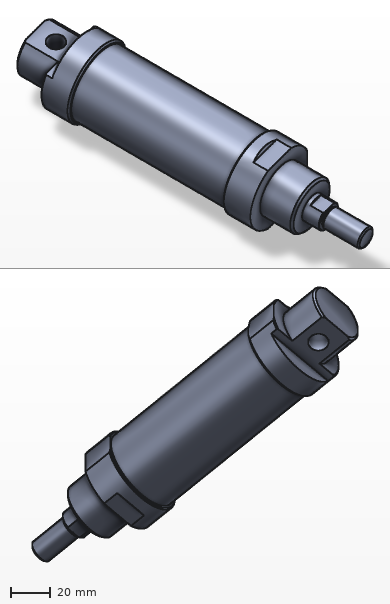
import cadquery as cq


TOTAL_LENGTH = 212.0
EYE_LENGTH = 22.0
REAR_HEAD_END = 40.3
FRONT_HEAD_START = 138.9
FRONT_HEAD_END = 156.5
NOSE_END = 177.0
ROD_SHOULDER = 188.0
THREAD_START = 189.0

HEAD_DIAMETER = 49.0
HEAD_WIDTH = 47.7
HEAD_RADIUS = HEAD_DIAMETER / 2
SIDE_FLAT_Y = HEAD_WIDTH - HEAD_RADIUS
HEAD_CHAMFER = 0.6
REAR_HEAD_TUBE_CHAMFER = 1.0

EYE_DIAMETER = 32.9
EYE_CHAMFER = 1.0
EYE_THICKNESS = 26.3
EYE_FLAT_LENGTH = 26.5
PIN_HOLE_DIAMETER = 10.4
PIN_HOLE_X = 13.1

TUBE_DIAMETER = 45.2

NOSE_DIAMETER = 32.9
NOSE_CHAMFER = 1.3
HEAD_ACROSS_FLATS = 45.0
HEAD_FLAT_START = 147.1
HEAD_FLAT_RUNOUT = 1.0

ROD_DIAMETER = 16.3
ROD_CHAMFER = 0.5
ROD_FLAT_START = 179.5
ROD_ACROSS_FLATS = 13.8
UNDERCUT_DIAMETER = 11.7
THREAD_DIAMETER = 12.7
THREAD_CHAMFER = 0.8

CUT_MARGIN = 2.1


def cylinder(start, end, diameter):
    """Solid cylinder about the X axis between two stations."""
    return cq.Workplane("YZ", origin=(start, 0, 0)).circle(diameter / 2).extrude(end - start)


def cut_flats(body, start, end, across_flats, runout=0.0):
    """Cut a flat on the +Z and -Z sides; runout is how far the step leans toward -X at the head radius."""
    flat_z = across_flats / 2
    top_z = HEAD_RADIUS
    cutter = (
        cq.Workplane("XZ")
        .moveTo(start, flat_z)
        .lineTo(end, flat_z)
        .lineTo(end, top_z + CUT_MARGIN)
        .lineTo(start - runout, top_z + CUT_MARGIN)
        .lineTo(start - runout, top_z)
        .close()
        .extrude(HEAD_RADIUS + CUT_MARGIN, both=True)
    )
    return body.cut(cutter).cut(cutter.mirror("XY"))


def cut_side_flat(head):
    """Cut the narrow flat along the +Y side of a head."""
    cutter = (
        cq.Workplane("XY", origin=(0, SIDE_FLAT_Y, 0))
        .box(TOTAL_LENGTH, HEAD_RADIUS, HEAD_DIAMETER, centered=(False, False, True))
    )
    return head.cut(cutter)


def make_rear_head():
    disc = cylinder(EYE_LENGTH, REAR_HEAD_END, HEAD_DIAMETER)
    disc = disc.faces("<X").chamfer(HEAD_CHAMFER)
    disc = disc.faces(">X").chamfer(REAR_HEAD_TUBE_CHAMFER)
    eye = cylinder(0, EYE_LENGTH, EYE_DIAMETER).faces("<X").chamfer(EYE_CHAMFER)
    head = cut_side_flat(disc).union(eye)
    head = cut_flats(head, 0, EYE_FLAT_LENGTH, EYE_THICKNESS)
    pin_hole = (
        cq.Workplane("XY")
        .center(PIN_HOLE_X, 0)
        .circle(PIN_HOLE_DIAMETER / 2)
        .extrude(EYE_THICKNESS, both=True)
    )
    return head.cut(pin_hole)


def make_tube():
    return cylinder(REAR_HEAD_END, FRONT_HEAD_START, TUBE_DIAMETER)


def make_front_head():
    disc = cylinder(FRONT_HEAD_START, FRONT_HEAD_END, HEAD_DIAMETER).faces("<X").chamfer(HEAD_CHAMFER)
    disc = cut_side_flat(disc)
    disc = cut_flats(disc, HEAD_FLAT_START, FRONT_HEAD_END, HEAD_ACROSS_FLATS, HEAD_FLAT_RUNOUT)
    nose = cylinder(FRONT_HEAD_END, NOSE_END, NOSE_DIAMETER).faces(">X").chamfer(NOSE_CHAMFER)
    return disc.union(nose)


def make_rod():
    """Rod seated against the nose face."""
    shank = cylinder(NOSE_END, ROD_SHOULDER, ROD_DIAMETER).faces(">X").chamfer(ROD_CHAMFER)
    shank = cut_flats(shank, ROD_FLAT_START, ROD_SHOULDER, ROD_ACROSS_FLATS)
    undercut = cylinder(ROD_SHOULDER, THREAD_START, UNDERCUT_DIAMETER)
    thread = cylinder(THREAD_START, TOTAL_LENGTH, THREAD_DIAMETER).faces(">X").chamfer(THREAD_CHAMFER)
    return shank.union(undercut).union(thread)


rear_head = make_rear_head()
tube = make_tube()
front_head = make_front_head()
rod = make_rod()

bodies = [rear_head, tube, front_head, rod]
result = cq.Compound.makeCompound([body.solids().val() for body in bodies])